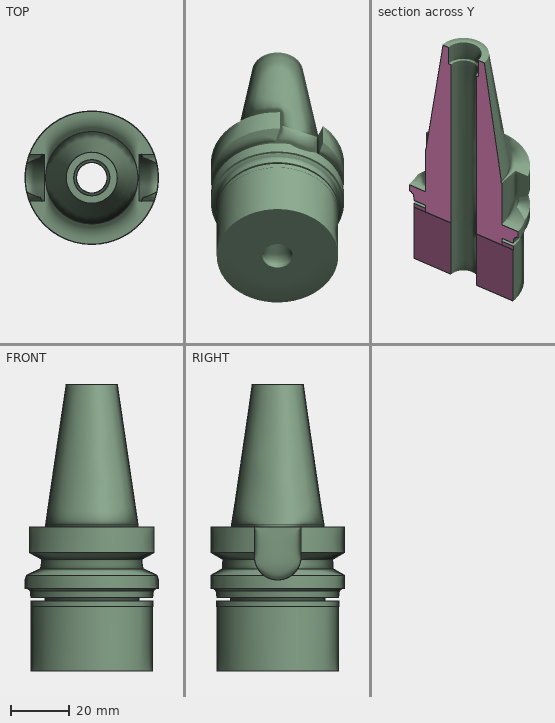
import cadquery as cq

TOTAL_LENGTH = 98.9
CAP_TOP = 22.4
RING_TOP = 24.2
BODY_BOTTOM = 25.3

GAUGE_RADIUS = 15.9
SHANK_END_RADIUS = 8.8
GAUGE_LINE = 50.6

FLANGE_DIAMETER = 46.0
FLANGE_RADIUS = FLANGE_DIAMETER / 2
FLANGE_TOP = 49.7
FLANGE_BOTTOM = 28.6
GROOVE_RADIUS = 19.0
GROOVE_MOUTH_TOP = 40.9
GROOVE_FLOOR_TOP = 38.6
GROOVE_FLOOR_BOTTOM = 35.3
GROOVE_MOUTH_BOTTOM = 33.0

NOSE_RADIUS = 21.0
RING_RADIUS = 21.1
COLLAR_TOP_RADIUS = 22.3
COLLAR_BASE_RADIUS = 21.3
COLLAR_BASE = 27.7
NECK_RADIUS = 16.2

SLOT_WIDTH = 16.1
SLOT_FLOOR = 16.2
SLOT_BOTTOM = 31.45

BORE_RADIUS = 5.2
COUNTERBORE_RADIUS = 6.2
COUNTERBORE_DEPTH = 7.1


def revolve(points):
    """Revolve a closed (radius, z) outline about the Z axis."""
    return cq.Workplane("XZ").polyline(points).close().revolve(360, (0, 0, 0), (0, 1, 0))


def make_holder():
    """Tapered shank, grooved gripper flange, collar and neck around one bore."""
    counterbore_floor = TOTAL_LENGTH - COUNTERBORE_DEPTH
    body = revolve([
        (BORE_RADIUS, CAP_TOP),
        (NECK_RADIUS, CAP_TOP),
        (NECK_RADIUS, BODY_BOTTOM),
        (NOSE_RADIUS, BODY_BOTTOM),
        (COLLAR_BASE_RADIUS, COLLAR_BASE),
        (COLLAR_TOP_RADIUS, FLANGE_BOTTOM),
        (FLANGE_RADIUS, FLANGE_BOTTOM),
        (FLANGE_RADIUS, GROOVE_MOUTH_BOTTOM),
        (GROOVE_RADIUS, GROOVE_FLOOR_BOTTOM),
        (GROOVE_RADIUS, GROOVE_FLOOR_TOP),
        (FLANGE_RADIUS, GROOVE_MOUTH_TOP),
        (FLANGE_RADIUS, FLANGE_TOP),
        (GAUGE_RADIUS, FLANGE_TOP),
        (GAUGE_RADIUS, GAUGE_LINE),
        (SHANK_END_RADIUS, TOTAL_LENGTH),
        (COUNTERBORE_RADIUS, TOTAL_LENGTH),
        (COUNTERBORE_RADIUS, counterbore_floor),
        (BORE_RADIUS, counterbore_floor),
    ])
    for side in (-1, 1):
        body = body.cut(make_slot_cutter(side))
    return body


def make_slot_cutter(side):
    """Round-bottomed drive slot that opens at the flange top and rim."""
    half = SLOT_WIDTH / 2
    arc_center = SLOT_BOTTOM + half
    return (
        cq.Workplane("YZ", origin=(side * SLOT_FLOOR, 0, 0))
        .moveTo(-half, FLANGE_TOP)
        .lineTo(-half, arc_center)
        .threePointArc((0, SLOT_BOTTOM), (half, arc_center))
        .lineTo(half, FLANGE_TOP)
        .close()
        .extrude(side * FLANGE_RADIUS)
    )


def make_tube(outer, inner, bottom, top):
    """Plain tube on the Z axis between two heights."""
    base = cq.Workplane("XY", origin=(0, 0, bottom))
    return base.circle(outer).circle(inner).extrude(top - bottom)


holder = make_holder()
ring = make_tube(RING_RADIUS, NECK_RADIUS, CAP_TOP, RING_TOP)
cap = make_tube(NOSE_RADIUS, BORE_RADIUS, 0, CAP_TOP)

result = cq.Compound.makeCompound([holder.val(), ring.val(), cap.val()])